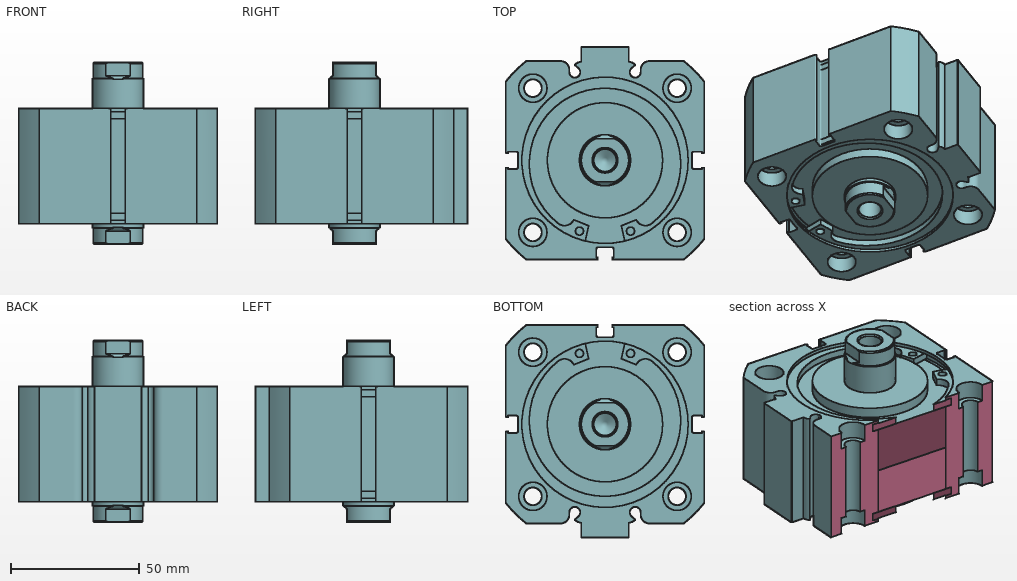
import cadquery as cq
import math

HALF_WIDTH = 38.8
HOUSING_HEIGHT = 45.0
HALF_HEIGHT = HOUSING_HEIGHT / 2
CORNER_RADIUS = 49.5

PORT_BOSS_TOP = 44.2
PORT_BOSS_HALF_WIDTH = 9.3
PORT_BOSS_CHAMFER = 0.25
BARB_ROOT_Y = 38.5
BARB_CREST = (10.7, 38.1)
BARB_TIP = (11.9, 37.3)
UNDERCUT_X = 11.8
UNDERCUT_Y = 34.4
UNDERCUT_RADIUS = 2.1
SHOULDER_RADIUS = 3.5
FLANK_Y = HALF_WIDTH - SHOULDER_RADIUS

SLOT_FLOOR = 34.0
SLOT_HALF_WIDTH = 3.3
SLOT_FLOOR_FILLET = 0.5
MOUTH_HALF_WIDTH = 2.8
LIP_DEPTH = 0.9
LIP_ROUND = 0.3
MOUTH_SEARCH_LIMIT = (MOUTH_HALF_WIDTH + SLOT_HALF_WIDTH) / 2

BOLT_OFFSET = 28.1
BOLT_DIAMETER = 6.8
COUNTERBORE_DIAMETER = 11.0
COUNTERBORE_DEPTH = 7.0

BORE_RADIUS = 32.45
GROOVE_WALL = 0.25
GROOVE_RADIUS = SLOT_FLOOR - GROOVE_WALL
GROOVE_DEPTH = 1.3
RING_THICKNESS = 2.7
GROOVE_TOP = HALF_HEIGHT - GROOVE_DEPTH
GROOVE_BOTTOM = GROOVE_TOP - RING_THICKNESS

RING_INNER_RADIUS = 29.55
RING_INNER_SHIFT = -1.4
RING_GAP_ANGLE = math.radians(13.7)
LUG_INNER_X = 6.4
LUG_INNER_Y = -25.6
LUG_CORNER = (12.2, -23.2)
LUG_NECK_BOTTOM = (15.35, -25.5)
LUG_NECK_START_X = 18.3
PLIER_HOLE_X = 10.0
PLIER_HOLE_Y = -27.6
PLIER_HOLE_DIAMETER = 3.15

COVER_BOSS_RADIUS = 22.5

ROD_DIAMETER = 20.0
ROD_RADIUS = ROD_DIAMETER / 2
ROD_TOP = HALF_HEIGHT + 18.0
ROD_BOTTOM = -HALF_HEIGHT - 8.0
ROD_END_LENGTH = 6.5
ROD_END_RADIUS = 9.7
ROD_END_CHAMFER = 0.5
ROD_FLAT_HALF_WIDTH = 8.5
ROD_FLAT_LENGTH = 5.15
THREAD_MOUTH_RADIUS = 5.0
THREAD_RADIUS = 4.4
THREAD_DEPTH = 14.9
DRILL_POINT_ANGLE = math.radians(59)


def mirrored(point):
    """The same point on the other side of the YZ plane."""
    return (-point[0], point[1])


def housing_profile():
    """Housing outline; its four corner arcs are centred on the rod axis."""
    diagonal = math.cos(math.radians(45))
    side = math.sqrt(CORNER_RADIUS**2 - HALF_WIDTH**2)
    corner_mid = CORNER_RADIUS * diagonal
    shoulder_center_x = UNDERCUT_X + UNDERCUT_RADIUS + SHOULDER_RADIUS
    shoulder_end = (shoulder_center_x, HALF_WIDTH)
    shoulder_mid = (shoulder_center_x - SHOULDER_RADIUS * diagonal, FLANK_Y + SHOULDER_RADIUS * diagonal)
    flank_top = (UNDERCUT_X + UNDERCUT_RADIUS, FLANK_Y)
    flank_bottom = (UNDERCUT_X + UNDERCUT_RADIUS, UNDERCUT_Y)
    undercut_low = (UNDERCUT_X, UNDERCUT_Y - UNDERCUT_RADIUS)
    undercut_end = (
        UNDERCUT_X - UNDERCUT_RADIUS * diagonal,
        UNDERCUT_Y + UNDERCUT_RADIUS * diagonal,
    )
    barb_root = (PORT_BOSS_HALF_WIDTH, BARB_ROOT_Y)
    boss_side = (PORT_BOSS_HALF_WIDTH, PORT_BOSS_TOP - PORT_BOSS_CHAMFER)
    boss_top = (PORT_BOSS_HALF_WIDTH - PORT_BOSS_CHAMFER, PORT_BOSS_TOP)
    return (
        cq.Workplane("XY", origin=(0, 0, -HALF_HEIGHT))
        .moveTo(-side, -HALF_WIDTH)
        .lineTo(side, -HALF_WIDTH)
        .threePointArc((corner_mid, -corner_mid), (HALF_WIDTH, -side))
        .lineTo(HALF_WIDTH, side)
        .threePointArc((corner_mid, corner_mid), (side, HALF_WIDTH))
        .lineTo(*shoulder_end)
        .threePointArc(shoulder_mid, flank_top)
        .lineTo(*flank_bottom)
        .threePointArc(undercut_low, undercut_end)
        .lineTo(*BARB_TIP)
        .threePointArc(BARB_CREST, barb_root)
        .lineTo(*boss_side)
        .lineTo(*boss_top)
        .lineTo(*mirrored(boss_top))
        .lineTo(*mirrored(boss_side))
        .lineTo(*mirrored(barb_root))
        .threePointArc(mirrored(BARB_CREST), mirrored(BARB_TIP))
        .lineTo(*mirrored(undercut_end))
        .threePointArc(mirrored(undercut_low), mirrored(flank_bottom))
        .lineTo(*mirrored(flank_top))
        .threePointArc(mirrored(shoulder_mid), mirrored(shoulder_end))
        .lineTo(-side, HALF_WIDTH)
        .threePointArc((-corner_mid, corner_mid), (-HALF_WIDTH, side))
        .lineTo(-HALF_WIDTH, -side)
        .threePointArc((-corner_mid, -corner_mid), (-side, -HALF_WIDTH))
        .close()
    )


def sensor_slot(angle):
    """Cutter for a slot with lips, turned about Z from the +X side."""
    lip = HALF_WIDTH - LIP_DEPTH
    slot = (
        cq.Workplane("XY", origin=(0, 0, -HALF_HEIGHT))
        .moveTo(SLOT_FLOOR, -SLOT_HALF_WIDTH)
        .lineTo(lip, -SLOT_HALF_WIDTH)
        .lineTo(lip, -MOUTH_HALF_WIDTH)
        .lineTo(HALF_WIDTH, -MOUTH_HALF_WIDTH)
        .lineTo(HALF_WIDTH, MOUTH_HALF_WIDTH)
        .lineTo(lip, MOUTH_HALF_WIDTH)
        .lineTo(lip, SLOT_HALF_WIDTH)
        .lineTo(SLOT_FLOOR, SLOT_HALF_WIDTH)
        .close()
        .extrude(HOUSING_HEIGHT)
        .edges("|Z and <X")
        .fillet(SLOT_FLOOR_FILLET)
    )
    return slot.rotate((0, 0, 0), (0, 0, 1), angle)


def bolt_hole_cutters():
    square = 2 * BOLT_OFFSET
    cutters = (
        cq.Workplane("XY", origin=(0, 0, -HALF_HEIGHT))
        .rect(square, square, forConstruction=True)
        .vertices()
        .circle(BOLT_DIAMETER / 2)
        .extrude(HOUSING_HEIGHT)
    )
    for bottom in (-HALF_HEIGHT, HALF_HEIGHT - COUNTERBORE_DEPTH):
        counterbores = (
            cq.Workplane("XY", origin=(0, 0, bottom))
            .rect(square, square, forConstruction=True)
            .vertices()
            .circle(COUNTERBORE_DIAMETER / 2)
            .extrude(COUNTERBORE_DEPTH)
        )
        cutters = cutters.add(counterbores)
    return cutters.combine()


def bore_cutter():
    """The bore with a ring groove near each end."""
    cutter = cq.Workplane("XY").circle(BORE_RADIUS).extrude(HALF_HEIGHT, both=True)
    for bottom in (GROOVE_BOTTOM, -GROOVE_TOP):
        groove = cq.Workplane("XY", origin=(0, 0, bottom)).circle(GROOVE_RADIUS).extrude(RING_THICKNESS)
        cutter = cutter.union(groove)
    return cutter


def round_side_mouths(housing):
    """Round the outer lip edges of the -X and +X slots; the -Y slot keeps sharp lips."""
    side_mouths = cq.selectors.BoxSelector(
        (-2 * HALF_WIDTH, -MOUTH_SEARCH_LIMIT, -HALF_HEIGHT),
        (2 * HALF_WIDTH, MOUTH_SEARCH_LIMIT, HALF_HEIGHT),
    )
    for side in ("<X", ">X"):
        housing = housing.faces(side).edges("|Z").edges(side_mouths).fillet(LIP_ROUND)
    return housing


def make_housing():
    housing = housing_profile().extrude(HOUSING_HEIGHT)
    for angle in (0, 180, 270):
        housing = housing.cut(sensor_slot(angle))
    housing = round_side_mouths(housing)
    return housing.cut(bolt_hole_cutters()).cut(bore_cutter())


def make_cover():
    """Upper cover: a disc from the middle plane to the ring groove and a boss flush with the housing."""
    return (
        cq.Workplane("XY")
        .circle(BORE_RADIUS)
        .extrude(GROOVE_BOTTOM)
        .union(cq.Workplane("XY").circle(COVER_BOSS_RADIUS).extrude(HALF_HEIGHT))
        .cut(cq.Workplane("XY").circle(ROD_RADIUS).extrude(HALF_HEIGHT))
    )


def make_retaining_ring():
    """Upper retaining ring, with its gap on the -Y side."""
    gap_x = GROOVE_RADIUS * math.sin(RING_GAP_ANGLE)
    gap_y = -GROOVE_RADIUS * math.cos(RING_GAP_ANGLE)
    gap_end = (gap_x, gap_y)
    lug_inner = (LUG_INNER_X, LUG_INNER_Y)
    neck_y = RING_INNER_SHIFT - math.sqrt(RING_INNER_RADIUS**2 - LUG_NECK_START_X**2)
    neck_start = (LUG_NECK_START_X, neck_y)
    plier_holes = [(PLIER_HOLE_X, PLIER_HOLE_Y), (-PLIER_HOLE_X, PLIER_HOLE_Y)]
    ring = (
        cq.Workplane("XY", origin=(0, 0, GROOVE_BOTTOM))
        .moveTo(*gap_end)
        .threePointArc((0, GROOVE_RADIUS), mirrored(gap_end))
        .lineTo(*mirrored(lug_inner))
        .lineTo(*mirrored(LUG_CORNER))
        .threePointArc(mirrored(LUG_NECK_BOTTOM), mirrored(neck_start))
        .threePointArc((0, RING_INNER_SHIFT + RING_INNER_RADIUS), neck_start)
        .threePointArc(LUG_NECK_BOTTOM, LUG_CORNER)
        .lineTo(*lug_inner)
        .close()
        .extrude(RING_THICKNESS)
    )
    holes = (
        cq.Workplane("XY", origin=(0, 0, GROOVE_BOTTOM))
        .pushPoints(plier_holes)
        .circle(PLIER_HOLE_DIAMETER / 2)
        .extrude(RING_THICKNESS)
    )
    return ring.cut(holes)


def rod_flat_cutters(tip):
    """Cutters for the two flats of the upper rod end, each running out at 45 degrees."""
    flat_bottom = tip - ROD_FLAT_LENGTH
    run_out = ROD_RADIUS - ROD_FLAT_HALF_WIDTH
    flat = (
        cq.Workplane("YZ")
        .moveTo(ROD_FLAT_HALF_WIDTH, tip)
        .lineTo(ROD_FLAT_HALF_WIDTH, flat_bottom)
        .lineTo(ROD_RADIUS, flat_bottom - run_out)
        .lineTo(ROD_RADIUS, tip)
        .close()
        .extrude(ROD_RADIUS, both=True)
    )
    return flat.union(flat.mirror("XZ"))


def make_rod_half(tip):
    """Rod from the middle plane up to its tip, with flats and a threaded hole."""
    shoulder = tip - ROD_END_LENGTH
    shoulder_chamfer = ROD_RADIUS - ROD_END_RADIUS
    mouth_depth = THREAD_MOUTH_RADIUS - THREAD_RADIUS
    thread_bottom = tip - THREAD_DEPTH
    drill_point = thread_bottom - THREAD_RADIUS / math.tan(DRILL_POINT_ANGLE)
    rod = (
        cq.Workplane("XZ")
        .moveTo(0, 0)
        .lineTo(ROD_RADIUS, 0)
        .lineTo(ROD_RADIUS, shoulder)
        .lineTo(ROD_END_RADIUS, shoulder + shoulder_chamfer)
        .lineTo(ROD_END_RADIUS, tip - ROD_END_CHAMFER)
        .lineTo(ROD_END_RADIUS - ROD_END_CHAMFER, tip)
        .lineTo(THREAD_MOUTH_RADIUS, tip)
        .lineTo(THREAD_RADIUS, tip - mouth_depth)
        .lineTo(THREAD_RADIUS, thread_bottom)
        .lineTo(0, drill_point)
        .close()
        .revolve(360, (0, 0, 0), (0, 1, 0))
    )
    return rod.cut(rod_flat_cutters(tip))


def make_rod():
    upper = make_rod_half(ROD_TOP)
    lower = make_rod_half(-ROD_BOTTOM).mirror("XY")
    return upper.union(lower)


housing = make_housing()
rod = make_rod()

covers = []
rings = []
for at_lower_end in (False, True):
    cover = make_cover()
    ring = make_retaining_ring()
    covers.append(cover.mirror("XY") if at_lower_end else cover)
    rings.append(ring.mirror("XY") if at_lower_end else ring)

result = cq.Compound.makeCompound(
    [housing.val(), rod.val()]
    + [cover.val() for cover in covers]
    + [ring.val() for ring in rings]
)